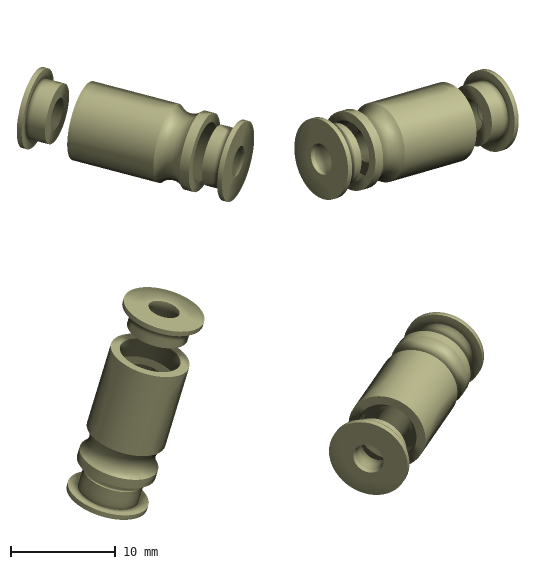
import cadquery as cq

total_length = 21.2

flange_diameter = 8.0
flange_thickness = 0.5
spigot_diameter = 6.0
cap_length = 2.5
flange_bore_diameter = 3.07
spigot_bore_diameter = 3.2

sleeve_diameter = 7.8
sleeve_length = 12.55
sleeve_offset = 5.17
sleeve_start = -total_length / 2 + sleeve_offset
sleeve_end = sleeve_start + sleeve_length
sleeve_bore_diameter = spigot_bore_diameter
socket_diameter = spigot_diameter
socket_depth = cap_length - flange_thickness
groove_width = 2.67
groove_depth = 0.6
rim_width = 0.98


def cylinder_x(start, length, diameter):
    """Cylinder along +X, beginning at the plane x = start."""
    return cq.Workplane("YZ", origin=(start, 0, 0)).circle(diameter / 2).extrude(length)


def make_cap():
    """Flanged cap with its outer face at -X and its spigot pointing to +X."""
    outer_face = -total_length / 2
    spigot_start = outer_face + flange_thickness
    spigot_length = cap_length - flange_thickness
    flange = cylinder_x(outer_face, flange_thickness, flange_diameter)
    spigot = cylinder_x(spigot_start, spigot_length, spigot_diameter)
    flange_bore = cylinder_x(outer_face, flange_thickness, flange_bore_diameter)
    spigot_bore = cylinder_x(spigot_start, spigot_length, spigot_bore_diameter)
    return flange.union(spigot).cut(flange_bore).cut(spigot_bore)


def make_groove():
    """Ring with a circular-arc floor, removed from around the sleeve."""
    groove_end = sleeve_end - rim_width
    groove_start = groove_end - groove_width
    groove_middle = (groove_start + groove_end) / 2
    sleeve_radius = sleeve_diameter / 2
    return (
        cq.Workplane("XY")
        .moveTo(groove_start, sleeve_radius)
        .threePointArc((groove_middle, sleeve_radius - groove_depth), (groove_end, sleeve_radius))
        .close()
        .revolve(360, (0, 0, 0), (1, 0, 0))
    )


def make_sleeve():
    """Sleeve with a through bore, a socket at each end and an outer groove."""
    sleeve = cylinder_x(sleeve_start, sleeve_length, sleeve_diameter)
    sleeve = sleeve.cut(cylinder_x(sleeve_start, sleeve_length, sleeve_bore_diameter))
    for socket_start in (sleeve_start, sleeve_end - socket_depth):
        sleeve = sleeve.cut(cylinder_x(socket_start, socket_depth, socket_diameter))
    return sleeve.cut(make_groove())


sleeve = make_sleeve()
caps = [make_cap().rotate((0, 0, 0), (0, 0, 1), angle) for angle in (0, 180)]

result = cq.Compound.makeCompound([sleeve.val(), *[cap.val() for cap in caps]])